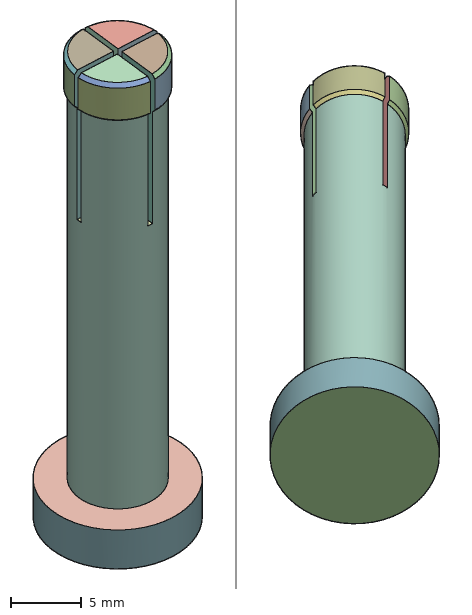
import cadquery as cq

total_height = 42.0
flange_diameter = 12.0
flange_height = 3.53
shaft_diameter = 7.2

head_diameter = 7.7
head_height = 3.4
top_chamfer = 0.3
lower_chamfer = (head_diameter - shaft_diameter) / 2

slot_width = 0.4
slot_depth = 13.5


def make_flange():
    return cq.Workplane("XY").circle(flange_diameter / 2).extrude(flange_height)


def make_shaft():
    return cq.Workplane("XY").circle(shaft_diameter / 2).extrude(total_height - head_height)


def make_head():
    """Head with a bevelled top rim and a lower bevel running into the shaft."""
    head = (
        cq.Workplane("XY")
        .workplane(offset=total_height - head_height)
        .circle(head_diameter / 2)
        .extrude(head_height)
    )
    return head.faces(">Z").chamfer(top_chamfer).faces("<Z").chamfer(lower_chamfer)


def make_slot(angle):
    """Slot cutter across the full head, turned about the pin axis."""
    slot = cq.Workplane("XY").box(
        flange_diameter, slot_width, slot_depth, centered=(True, True, False)
    )
    return slot.translate((0, 0, total_height - slot_depth)).rotate((0, 0, 0), (0, 0, 1), angle)


result = make_flange().union(make_shaft()).union(make_head())
for slot_angle in (0, 90):
    result = result.cut(make_slot(slot_angle))